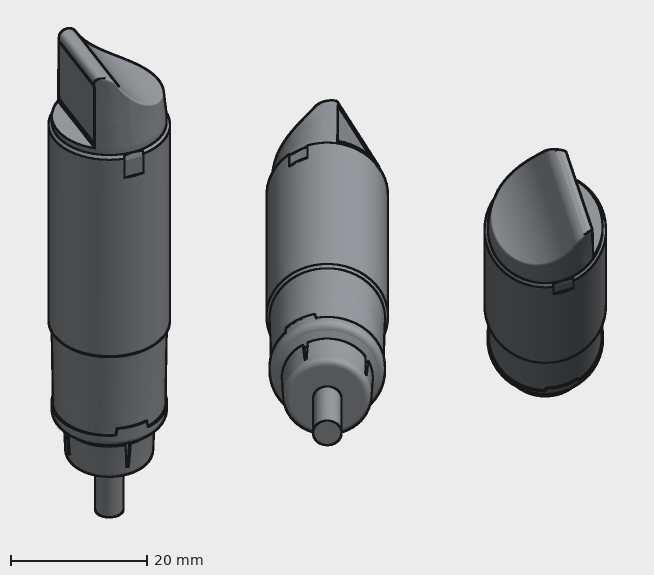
import cadquery as cq

NUT_BOTTOM = 10.0
NUT_TOP = 16.05
DOME_TOP = 18.2
CAP_TOP = 19.3
SLEEVE_BOTTOM = 33.5
SLEEVE_TOP = 69.95
HEAD_BASE = 71.0
TOTAL_HEIGHT = 83.4

CABLE_RADIUS = 2.1
NUT_TOP_RADIUS = 6.7
NUT_BOTTOM_RADIUS = 6.45
NUT_FILLET = 0.95
NECK_RADIUS = 5.5
CAP_RADIUS = 8.5
BODY_BOTTOM_RADIUS = 8.3
BODY_TOP_RADIUS = 8.5
SLEEVE_RADIUS = 8.94
SLEEVE_EDGE = 0.5
COLLAR_RADIUS = 8.45

DOME_CONE_RADIUS = 7.5
DOME_CONE_TOP = 17.05
DOME_BLEND_POINT = (8.2, 17.45)

TAB_TOP = 20.5
TAB_TOP_WIDTH = 4.8
TAB_BOTTOM_WIDTH = 5.2

NOTCH_BOTTOM = 66.0
NOTCH_SLOPE_START = 69.0
NOTCH_WIDTH = 3.05
NOTCH_FLOOR = 8.75

GROOVE_COUNT = 4
GROOVE_BOTTOM = 11.9
GROOVE_TOP_WIDTH = 0.85
GROOVE_BOTTOM_WIDTH = 0.4
GROOVE_FLOOR = 6.1

HEAD_BASE_RADIUS = COLLAR_RADIUS
HEAD_TOP_RADIUS = 7.8
HEAD_TOP_SHIFT = 0.65
FRONT_FLAT_Y = -5.3
FRONT_TOP_FILLET = 0.9
CREST_BACK_Y = -3.83
CREST_BACK_RADIUS = 2.6
SCOOP_FRONT = (-2.1, 82.15)
SCOOP_MIDDLE = (3.14, 76.85)
SCOOP_BACK = (8.6, 75.15)
SCOOP_RIM_FILLET = 0.3

WINDOW_WIDTH = 12.6
WINDOW_BOTTOM = 71.5
WINDOW_TOP = 81.95
WINDOW_CORNER = 0.4
WINDOW_DEPTH = 0.1

CLEARANCE = 1.0


def cylinder(radius, bottom, top):
    return cq.Workplane("XY").workplane(offset=bottom).circle(radius).extrude(top - bottom)


def make_turned_body():
    """Cap, lower body, sleeve and collar as one revolved profile."""
    return (
        cq.Workplane("XZ")
        .moveTo(0, NUT_TOP)
        .lineTo(NECK_RADIUS, NUT_TOP)
        .lineTo(DOME_CONE_RADIUS, DOME_CONE_TOP)
        .threePointArc(DOME_BLEND_POINT, (CAP_RADIUS, DOME_TOP))
        .lineTo(CAP_RADIUS, CAP_TOP)
        .lineTo(BODY_BOTTOM_RADIUS, CAP_TOP)
        .lineTo(BODY_TOP_RADIUS, SLEEVE_BOTTOM)
        .lineTo(SLEEVE_RADIUS, SLEEVE_BOTTOM + SLEEVE_EDGE)
        .lineTo(SLEEVE_RADIUS, SLEEVE_TOP - SLEEVE_EDGE)
        .lineTo(SLEEVE_RADIUS - SLEEVE_EDGE, SLEEVE_TOP)
        .lineTo(COLLAR_RADIUS, SLEEVE_TOP)
        .lineTo(COLLAR_RADIUS, HEAD_BASE)
        .lineTo(0, HEAD_BASE)
        .close()
        .revolve(360, (0, 0), (0, 1))
    )


def make_cap_tabs():
    """Flared tabs that continue the cap wall upwards on both X sides."""
    blank = (
        cq.Workplane("YZ")
        .moveTo(-TAB_BOTTOM_WIDTH / 2, CAP_TOP)
        .lineTo(TAB_BOTTOM_WIDTH / 2, CAP_TOP)
        .lineTo(TAB_TOP_WIDTH / 2, TAB_TOP)
        .lineTo(-TAB_TOP_WIDTH / 2, TAB_TOP)
        .close()
        .extrude(CAP_RADIUS, both=True)
    )
    return blank.intersect(cylinder(CAP_RADIUS, CAP_TOP, TAB_TOP))


def make_sleeve_notch():
    """Cutter for the +X notch: a flat floor that leans inwards near the sleeve top."""
    outside = SLEEVE_RADIUS + CLEARANCE
    return (
        cq.Workplane("XZ")
        .moveTo(outside, NOTCH_BOTTOM)
        .lineTo(NOTCH_FLOOR, NOTCH_BOTTOM)
        .lineTo(NOTCH_FLOOR, NOTCH_SLOPE_START)
        .lineTo(COLLAR_RADIUS, SLEEVE_TOP)
        .lineTo(outside, SLEEVE_TOP)
        .close()
        .extrude(NOTCH_WIDTH / 2, both=True)
    )


def make_nut():
    """Tapered clamping nut with a rounded lower edge and grip grooves."""
    nut = (
        cq.Workplane("XZ")
        .moveTo(0, NUT_BOTTOM)
        .lineTo(NUT_BOTTOM_RADIUS, NUT_BOTTOM)
        .lineTo(NUT_TOP_RADIUS, NUT_TOP)
        .lineTo(0, NUT_TOP)
        .close()
        .revolve(360, (0, 0), (0, 1))
        .faces("<Z")
        .edges()
        .fillet(NUT_FILLET)
    )
    groove = (
        cq.Workplane("YZ")
        .workplane(offset=GROOVE_FLOOR)
        .moveTo(-GROOVE_BOTTOM_WIDTH / 2, GROOVE_BOTTOM)
        .lineTo(GROOVE_BOTTOM_WIDTH / 2, GROOVE_BOTTOM)
        .lineTo(GROOVE_TOP_WIDTH / 2, NUT_TOP)
        .lineTo(-GROOVE_TOP_WIDTH / 2, NUT_TOP)
        .close()
        .extrude(CLEARANCE)
    )
    for index in range(GROOVE_COUNT):
        angle = index * 360 / GROOVE_COUNT
        nut = nut.cut(groove.rotate((0, 0, 0), (0, 0, 1), angle))
    return nut


def make_head_side_profile():
    """Solid across the head with its side outline: flat front, rounded crest and hollow scooped back."""
    return (
        cq.Workplane("YZ")
        .workplane(offset=-SLEEVE_RADIUS)
        .moveTo(FRONT_FLAT_Y, HEAD_BASE)
        .lineTo(FRONT_FLAT_Y, TOTAL_HEIGHT - FRONT_TOP_FILLET)
        .radiusArc((FRONT_FLAT_Y + FRONT_TOP_FILLET, TOTAL_HEIGHT), FRONT_TOP_FILLET)
        .lineTo(CREST_BACK_Y, TOTAL_HEIGHT)
        .radiusArc(SCOOP_FRONT, CREST_BACK_RADIUS)
        .threePointArc(SCOOP_MIDDLE, SCOOP_BACK)
        .lineTo(SLEEVE_RADIUS, SCOOP_BACK[1])
        .lineTo(SLEEVE_RADIUS, HEAD_BASE)
        .close()
        .extrude(2 * SLEEVE_RADIUS)
    )


def make_head():
    """Drafted head trimmed to its side outline, with a softened scoop rim and a window."""
    drafted = (
        cq.Workplane("XY")
        .workplane(offset=HEAD_BASE)
        .circle(HEAD_BASE_RADIUS)
        .workplane(offset=TOTAL_HEIGHT - HEAD_BASE)
        .center(0, -HEAD_TOP_SHIFT)
        .circle(HEAD_TOP_RADIUS)
        .loft(ruled=True)
    )
    window = (
        cq.Workplane("XZ", origin=(0, FRONT_FLAT_Y, (WINDOW_BOTTOM + WINDOW_TOP) / 2))
        .rect(WINDOW_WIDTH, WINDOW_TOP - WINDOW_BOTTOM)
        .extrude(-WINDOW_DEPTH)
        .edges("|Y")
        .fillet(WINDOW_CORNER)
    )
    head = drafted.intersect(make_head_side_profile())
    scoop_face = head.faces(cq.selectors.NearestToPointSelector((0, *SCOOP_MIDDLE)))
    rim = scoop_face.edges("not |X")
    return rim.fillet(SCOOP_RIM_FILLET).cut(window)


body = make_turned_body().union(make_cap_tabs())
notch = make_sleeve_notch()
body = body.cut(notch).cut(notch.mirror("YZ"))
cable = cylinder(CABLE_RADIUS, 0, NUT_BOTTOM)
result = body.union(make_nut()).union(cable).union(make_head())